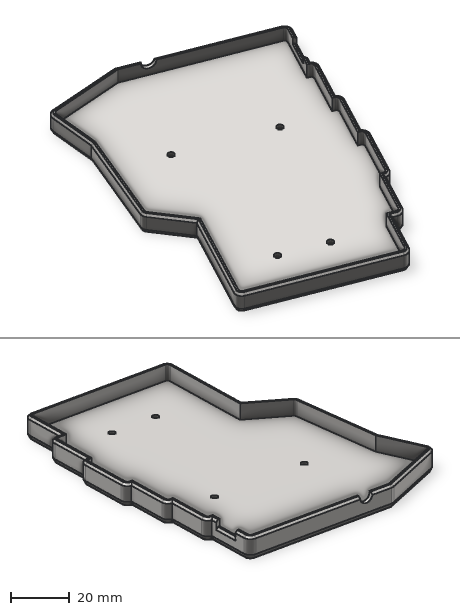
import cadquery as cq
import math

WIDTH = 120.29
HEIGHT = 8.7
WALL = 1.6
FLOOR = 2.5
CAVITY_RADIUS = 1.25

RIM_CHAMFER = 0.9
BASE_CHAMFER_IN = 0.9
BASE_CHAMFER_UP = 1.8

CAVITY_LEFT = WALL
CAVITY_RIGHT = WIDTH - WALL
CAVITY_FRONT = WALL
CAVITY_REAR = 61.8
REAR_STEP = 7.0 / 3
REAR_STEPS = [(21.5, 1), (39.9, 1), (58.8, 1), (80.45, -1), (99.65, -2)]

LEFT_SIDE_END = 0.64
THUMB_ANGLE = 24.0
THUMB_SIDE = 30.28
THUMB_FRONT = 20.1
PALM_ANGLE = 6.0
PALM_LENGTH = 38.49
RETURN_ANGLE = 60.0

HOLE_DIAMETER = 2.5
HOLE_CENTRES = [(41.05, 44.85), (41.05, 5.45), (100.2, 41.35), (100.2, 22.2)]

CABLE_Y = 11.87
CABLE_Z = 8.33
CABLE_RADIUS = 2.7

PORT_LEFT = 7.4
PORT_RIGHT = 17.7
PORT_DROP = 2.8

OVERSHOOT = 1.0


def move(point, length, angle):
    """Point reached from `point` after `length` in the direction `angle` (degrees)."""
    turn = math.radians(angle)
    return (point[0] + length * math.cos(turn), point[1] + length * math.sin(turn))


def cavity_corners():
    """Corners of the cavity outline, clockwise from the left end of the rear side."""
    level = CAVITY_REAR
    points = [(CAVITY_LEFT, level)]
    for x, climb in REAR_STEPS:
        points.append((x, level))
        level += climb * REAR_STEP
        points.append((x, level))
    points.append((CAVITY_RIGHT, level))
    points.append((CAVITY_RIGHT, CAVITY_FRONT))

    left_end = (CAVITY_LEFT, LEFT_SIDE_END)
    thumb = move(left_end, THUMB_SIDE, THUMB_ANGLE - 90)
    valley = move(thumb, THUMB_FRONT, THUMB_ANGLE)
    palm = move(valley, PALM_LENGTH, PALM_ANGLE)
    return_length = (CAVITY_FRONT - palm[1]) / math.sin(math.radians(RETURN_ANGLE))
    return_end = move(palm, return_length, RETURN_ANGLE)
    return points + [return_end, palm, valley, thumb, left_end]


def is_convex(before, corner, after):
    """True where a clockwise outline turns right."""
    in_x, in_y = corner[0] - before[0], corner[1] - before[1]
    out_x, out_y = after[0] - corner[0], after[1] - corner[1]
    return in_x * out_y - in_y * out_x < 0


def cavity_outline():
    """Closed cavity wire: convex corners rounded, the others sharp."""
    corners = cavity_corners()
    wire = cq.Wire.makePolygon([cq.Vector(x, y) for x, y in corners], close=True)
    neighbours = zip(corners[-1:] + corners[:-1], corners, corners[1:] + corners[:1])
    convex = [corner for before, corner, after in neighbours if is_convex(before, corner, after)]
    rounded = [
        v for v in wire.Vertices()
        if any(math.dist((v.X, v.Y), corner) < 1e-6 for corner in convex)
    ]
    return wire.fillet2D(CAVITY_RADIUS, rounded)


def make_shell(outline):
    """Solid block around the cavity, chamfered top and bottom."""
    base_taper = math.degrees(math.atan2(BASE_CHAMFER_IN, BASE_CHAMFER_UP))
    section = cq.Workplane("XY").add(outline).toPending().offset2D(WALL).val()
    walls = cq.Workplane("XY").add(section).toPending().extrude(HEIGHT - BASE_CHAMFER_UP)
    walls = walls.faces(">Z").chamfer(RIM_CHAMFER)
    base = cq.Workplane("XY").add(section).toPending().extrude(-BASE_CHAMFER_UP, taper=base_taper)
    return walls.union(base).translate((0, 0, BASE_CHAMFER_UP))


def make_cavity(outline):
    """Open-topped space above the floor."""
    depth = HEIGHT - FLOOR + OVERSHOOT
    return cq.Workplane("XY").add(outline).toPending().extrude(depth).translate((0, 0, FLOOR))


def make_holes():
    """Screw holes through the floor."""
    return cq.Workplane("XY").pushPoints(HOLE_CENTRES).circle(HOLE_DIAMETER / 2).extrude(HEIGHT)


def make_cable_notch():
    """Round groove across the left wall, along X."""
    return (
        cq.Workplane("YZ", origin=(-OVERSHOOT, 0, 0))
        .center(CABLE_Y, CABLE_Z)
        .circle(CABLE_RADIUS)
        .extrude(WALL + 2 * OVERSHOOT)
    )


def make_port_notch():
    """Cut that lowers part of the rear wall and keeps the rim chamfer along its sill."""
    sill = HEIGHT - PORT_DROP
    top = HEIGHT + OVERSHOOT
    inside = CAVITY_REAR - OVERSHOOT
    outside = CAVITY_REAR + WALL + OVERSHOOT
    chamfer_start = CAVITY_REAR + WALL - RIM_CHAMFER
    chamfer_end = sill - (outside - chamfer_start)
    profile = [
        (inside, top),
        (inside, sill),
        (chamfer_start, sill),
        (outside, chamfer_end),
        (outside, top),
    ]
    return (
        cq.Workplane("YZ", origin=(PORT_LEFT, 0, 0))
        .polyline(profile)
        .close()
        .extrude(PORT_RIGHT - PORT_LEFT)
    )


outline = cavity_outline()
result = (
    make_shell(outline)
    .cut(make_cavity(outline))
    .cut(make_holes())
    .cut(make_cable_notch())
    .cut(make_port_notch())
)